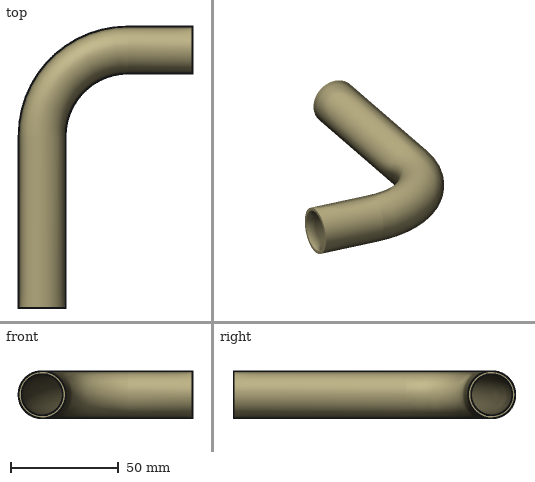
import cadquery as cq

outer_diameter = 22.0
wall_thickness = 1.5
overall_length = 131.0
overall_width = 81.0
bend_radius = 40.0

inner_diameter = outer_diameter - 2 * wall_thickness
outer_radius = outer_diameter / 2
long_leg = overall_length - outer_radius - bend_radius
short_leg = overall_width - outer_radius - bend_radius

centreline = (
    cq.Workplane("XY")
    .lineTo(0, long_leg)
    .radiusArc((bend_radius, long_leg + bend_radius), bend_radius)
    .lineTo(bend_radius + short_leg, long_leg + bend_radius)
)

result = (
    cq.Workplane("XZ")
    .circle(outer_radius)
    .circle(inner_diameter / 2)
    .sweep(centreline)
)